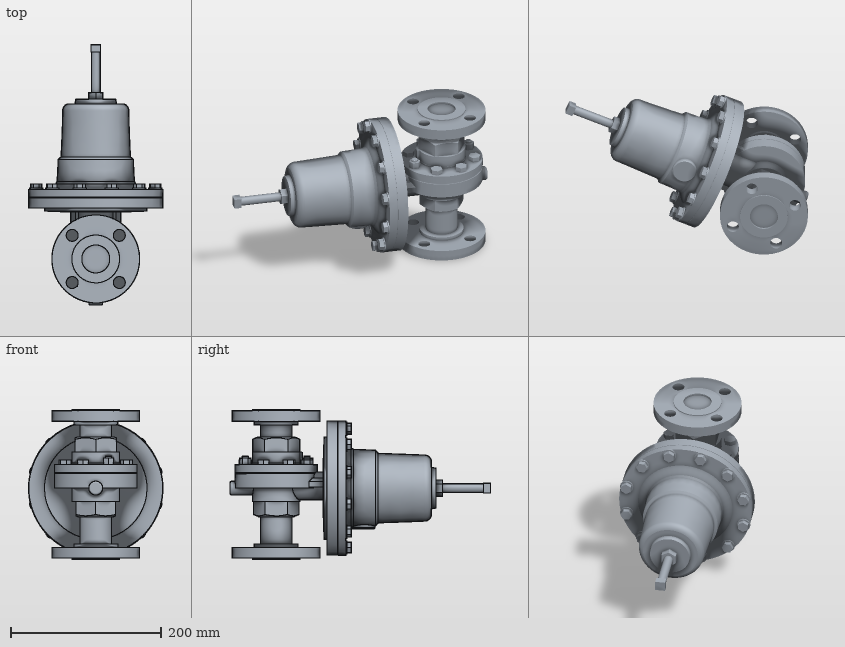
import cadquery as cq
import math


face_to_face = 199.9
flange_dia = 117.3
flange_thickness = 15.9
raised_face_dia = 63.7
raised_face_height = 1.6
hub_dia = 58.7
hub_reach = 20.6
pipe_dia = 42.2
bore_dia = 37.3
bore_depth = 3.0
flange_hole_dia = 15.9
flange_hole_circle = 88.9
flange_hole_count = 4

collar_dia = 63.7
upper_hex_flats = 54.7
upper_hex_top = 63.3
upper_collar_top = 43.4
upper_collar_bottom = 28.6
register_dia = 64.8
cover_dia = 110.0
cover_top = 26.4
cover_bottom = 15.6
gasket_dia = 80.0
gasket_thickness = 1.2
body_bottom = -4.9
lower_collar_bottom = -22.8
lower_hex_flats = 52.8
lower_hex_bottom = -43.2
hex_chamfer_height = 3.2
hex_chamfer_width = 7.0

lug_width = 10.0
lug_reach = 34.8
lug_chamfer = 1.0

cover_bolt_count = 8
cover_bolt_circle_radius = 44.5
cover_bolt_flats = 14.2
stud_nut_flats = 13.2
cover_head_height = 6.4
stud_nut_height = 8.6
stud_dia = 8.4
stud_height = 11.8
stud_chamfer = 0.8
stud_places = (2, 6)

axis_height = -4.9
case_dia = 179.32
case_front = 67.6
case_back = 92.9
diaphragm_place = 81.9
diaphragm_thickness = 1.0
diaphragm_dia = 178.2
lip_dia = 136.6
lip_front = 63.8
dome_height = 1.7
bonnet_skirt_end = 99.9
bonnet_base_radius = 64.0
bonnet_skirt_radius = 53.4
bonnet_taper_radius = 51.8
bonnet_taper_start = 103.3
bonnet_shoulder_start = 132.4
bonnet_shoulder_radius = 50.6
bonnet_shoulder_end = 135.8
bonnet_upper_radius = 46.5
bonnet_crown_start = 197.4
bonnet_crown_radius = 44.2
bonnet_crown_width = 7.0
bonnet_top = 206.8
boss_dia = 53.2
boss_base_dia = 55.6
boss_top = 213.1

lock_nut_flats = 19.2
lock_nut_top = 221.7
screw_dia = 12.0
screw_end = 285.66
square_size = 13.2
square_length = 9.6

case_bolt_count = 12
case_bolt_circle_radius = 82.0
case_bolt_flats = 13.0
case_bolt_height = 7.3
case_washer_dia = 17.8
case_washer_height = 1.5

vent_place = 115.5
vent_dia = 33.0
vent_reach = 54.3
vent_chamfer = 1.5

yoke_half_width = 23.3
yoke_top = 16.7
yoke_bottom = -20.6
yoke_top_fillet = 10.0
yoke_bottom_fillet = 15.6
wing_half_width = 33.4
wing_top = 8.3
wing_bottom = -3.5
wing_chamfer_width = 6.3
wing_chamfer_height = 4.5

port_dia = 18.6
port_end = -61.66
port_fillet = 2.5


def cylinder_z(diameter, bottom, top):
    """A round bar on the valve axis."""
    return cq.Workplane("XY").workplane(offset=bottom).circle(diameter / 2).extrude(top - bottom)


def hex_prism(flats, height, vertex_angle):
    """A hexagonal bar standing on the XY plane, with one corner at the given angle in degrees."""
    corner_dia = flats / math.cos(math.radians(30))
    prism = cq.Workplane("XY").polygon(6, corner_dia).extrude(height)
    return prism.rotate((0, 0, 0), (0, 0, 1), vertex_angle)


def onto_actuator_axis(shape):
    """Turns a shape built along +Z so that it lies along +Y on the actuator axis."""
    return shape.rotate((0, 0, 0), (1, 0, 0), -90).translate((0, 0, axis_height))


def chamfered_valve_hex(flats, height):
    """A valve end hexagon with corners on the Y axis and its top corners turned off to a cone."""
    corner_radius = flats / 2 / math.cos(math.radians(30))
    cone_profile = (
        cq.Workplane("XZ")
        .moveTo(0, 0)
        .lineTo(corner_radius, 0)
        .lineTo(corner_radius, height - hex_chamfer_height)
        .lineTo(corner_radius - hex_chamfer_width, height)
        .lineTo(0, height)
        .close()
    )
    turned = cone_profile.revolve(360, (0, 0, 0), (0, 1, 0))
    return hex_prism(flats, height, 90).intersect(turned)


def end_flange():
    """The top flange with raised face, hub, bolt holes and bore recess."""
    top = face_to_face / 2
    flange_bottom = top - flange_thickness
    flange = cylinder_z(flange_dia, flange_bottom, top - raised_face_height)
    flange = flange.union(cylinder_z(raised_face_dia, flange_bottom, top))
    flange = flange.union(cylinder_z(hub_dia, top - hub_reach, flange_bottom))
    holes = (
        cq.Workplane("XY")
        .workplane(offset=flange_bottom)
        .polarArray(flange_hole_circle / 2, 180 / flange_hole_count, 360, flange_hole_count)
        .circle(flange_hole_dia / 2)
        .extrude(flange_thickness)
    )
    return flange.cut(holes).cut(cylinder_z(bore_dia, top - bore_depth, top))


def valve_body():
    """Flanges, pipe, hexagons, collars, cover and body disc stacked on the valve axis."""
    hub_end = face_to_face / 2 - hub_reach
    upper_hex = chamfered_valve_hex(upper_hex_flats, upper_hex_top - upper_collar_top)
    lower_hex = chamfered_valve_hex(lower_hex_flats, lower_collar_bottom - lower_hex_bottom)
    flange = end_flange()
    pieces = [
        flange,
        flange.mirror("XY"),
        upper_hex.translate((0, 0, upper_collar_top)),
        lower_hex.mirror("XY").translate((0, 0, lower_collar_bottom)),
        cylinder_z(collar_dia, upper_collar_bottom, upper_collar_top),
        cylinder_z(register_dia, cover_top, upper_collar_bottom),
        cylinder_z(cover_dia, cover_bottom, cover_top),
        cylinder_z(gasket_dia, cover_bottom - gasket_thickness, cover_bottom),
        cylinder_z(cover_dia, body_bottom, cover_bottom - gasket_thickness),
        cylinder_z(collar_dia, lower_collar_bottom, body_bottom),
    ]
    body = cylinder_z(pipe_dia, -hub_end, hub_end)
    for piece in pieces:
        body = body.union(piece)
    return body


def collar_lug():
    """A narrow lug on the actuator side of the upper collar."""
    height = upper_collar_top - cover_top
    lug = cq.Workplane("XY").box(lug_width, lug_reach, height, centered=(True, False, False))
    lug = lug.faces(">Y").edges(">Z").chamfer(lug_chamfer)
    return lug.translate((0, 0, cover_top))


def cover_fasteners():
    """Ring of cover bolts, with a stud and nut at two opposite places."""
    head = hex_prism(cover_bolt_flats, cover_head_height, 0)
    nut = hex_prism(stud_nut_flats, stud_nut_height, 90)
    stud = cq.Workplane("XY").circle(stud_dia / 2).extrude(stud_height)
    stud_and_nut = nut.union(stud.faces(">Z").chamfer(stud_chamfer))
    step = 360 / cover_bolt_count
    fasteners = cq.Workplane("XY")
    for place in range(cover_bolt_count):
        angle = (place + 0.5) * step
        x = cover_bolt_circle_radius * math.cos(math.radians(angle))
        y = cover_bolt_circle_radius * math.sin(math.radians(angle))
        if place in stud_places:
            fastener = stud_and_nut
        else:
            fastener = head.rotate((0, 0, 0), (0, 0, 1), angle + step / 2)
        fasteners = fasteners.add(fastener.translate((x, y, cover_top)))
    return fasteners.combine()


def actuator_case():
    """Diaphragm case, bonnet and top boss as one turned shape about the actuator axis."""
    case_radius = case_dia / 2
    diaphragm_radius = diaphragm_dia / 2
    groove_front = diaphragm_place - diaphragm_thickness / 2
    groove_back = diaphragm_place + diaphragm_thickness / 2
    crown_height = bonnet_top - bonnet_crown_start
    half_plane = cq.Plane(origin=(0, 0, axis_height), xDir=(0, 0, 1), normal=(-1, 0, 0))
    lip_radius = lip_dia / 2
    dome_middle = (lip_radius / 2, lip_front - dome_height * 3 / 4)
    crown_arc_radius = (bonnet_crown_width**2 + crown_height**2) / (2 * bonnet_crown_width)
    crown_half_angle = math.atan(bonnet_crown_width / crown_height)
    crown_middle = (
        bonnet_crown_radius - crown_arc_radius * (1 - math.cos(crown_half_angle)),
        bonnet_crown_start + crown_arc_radius * math.sin(crown_half_angle),
    )
    profile = (
        cq.Workplane(half_plane)
        .moveTo(0, lip_front - dome_height)
        .threePointArc(dome_middle, (lip_radius, lip_front))
        .lineTo(lip_radius, case_front)
        .lineTo(case_radius, case_front)
        .lineTo(case_radius, groove_front)
        .lineTo(diaphragm_radius, groove_front)
        .lineTo(diaphragm_radius, groove_back)
        .lineTo(case_radius, groove_back)
        .lineTo(case_radius, case_back)
        .lineTo(bonnet_base_radius, case_back)
        .lineTo(bonnet_skirt_radius, bonnet_skirt_end)
        .lineTo(bonnet_taper_radius, bonnet_taper_start)
        .lineTo(bonnet_shoulder_radius, bonnet_shoulder_start)
        .lineTo(bonnet_upper_radius, bonnet_shoulder_end)
        .lineTo(bonnet_crown_radius, bonnet_crown_start)
        .threePointArc(crown_middle, (bonnet_crown_radius - bonnet_crown_width, bonnet_top))
        .lineTo(boss_base_dia / 2, bonnet_top)
        .lineTo(boss_dia / 2, boss_top)
        .lineTo(0, boss_top)
        .close()
    )
    return profile.revolve(360, (0, 0, 0), (0, 1, 0))


def adjusting_screw():
    """Lock nut, screw and square end."""
    nut = hex_prism(lock_nut_flats, lock_nut_top - boss_top, 90).translate((0, 0, boss_top))
    screw = cylinder_z(screw_dia, boss_top, screw_end)
    square = (
        cq.Workplane("XY")
        .workplane(offset=screw_end - square_length)
        .rect(square_size, square_size)
        .extrude(square_length)
    )
    return onto_actuator_axis(nut.union(screw).union(square))


def case_bolts():
    """Ring of washers and hexagon heads on the bonnet side of the case."""
    washer = cq.Workplane("XY").circle(case_washer_dia / 2).extrude(case_washer_height)
    step = 360 / case_bolt_count
    bolt = hex_prism(case_bolt_flats, case_bolt_height, -step / 2).union(washer)
    bolt = bolt.translate((case_bolt_circle_radius, 0, case_back))
    bolts = cq.Workplane("XY")
    for place in range(case_bolt_count):
        bolts = bolts.add(bolt.rotate((0, 0, 0), (0, 0, 1), (place + 0.5) * step))
    return onto_actuator_axis(bolts.combine())


def vent_boss():
    """Round boss hanging below the bonnet."""
    boss = cq.Workplane("XY").circle(vent_dia / 2).extrude(-vent_reach)
    boss = boss.faces("<Z").chamfer(vent_chamfer)
    return boss.translate((0, vent_place, axis_height))


def yoke():
    """Rounded arm with side wings that carries the actuator on the valve body."""
    arm = cq.Workplane("XZ").center(0, (yoke_top + yoke_bottom) / 2)
    arm = arm.rect(2 * yoke_half_width, yoke_top - yoke_bottom).extrude(-case_front)
    arm = arm.edges("|Y and >Z").fillet(yoke_top_fillet)
    arm = arm.edges("|Y and <Z").fillet(yoke_bottom_fillet)
    wings = (
        cq.Workplane("XZ")
        .moveTo(-wing_half_width, wing_bottom)
        .lineTo(wing_half_width, wing_bottom)
        .lineTo(wing_half_width, wing_top - wing_chamfer_height)
        .lineTo(wing_half_width - wing_chamfer_width, wing_top)
        .lineTo(wing_chamfer_width - wing_half_width, wing_top)
        .lineTo(-wing_half_width, wing_top - wing_chamfer_height)
        .close()
        .extrude(-case_front)
    )
    return arm.union(wings)


def sensing_port():
    """Round-nosed port on the side opposite the actuator."""
    port = cq.Workplane("XZ").circle(port_dia / 2).extrude(-port_end)
    port = port.faces("<Y").edges().fillet(port_fillet)
    return port.translate((0, 0, axis_height))


result = valve_body()
for section in (
    yoke(),
    collar_lug(),
    cover_fasteners(),
    sensing_port(),
    actuator_case(),
    case_bolts(),
    adjusting_screw(),
    vent_boss(),
):
    result = result.union(section)